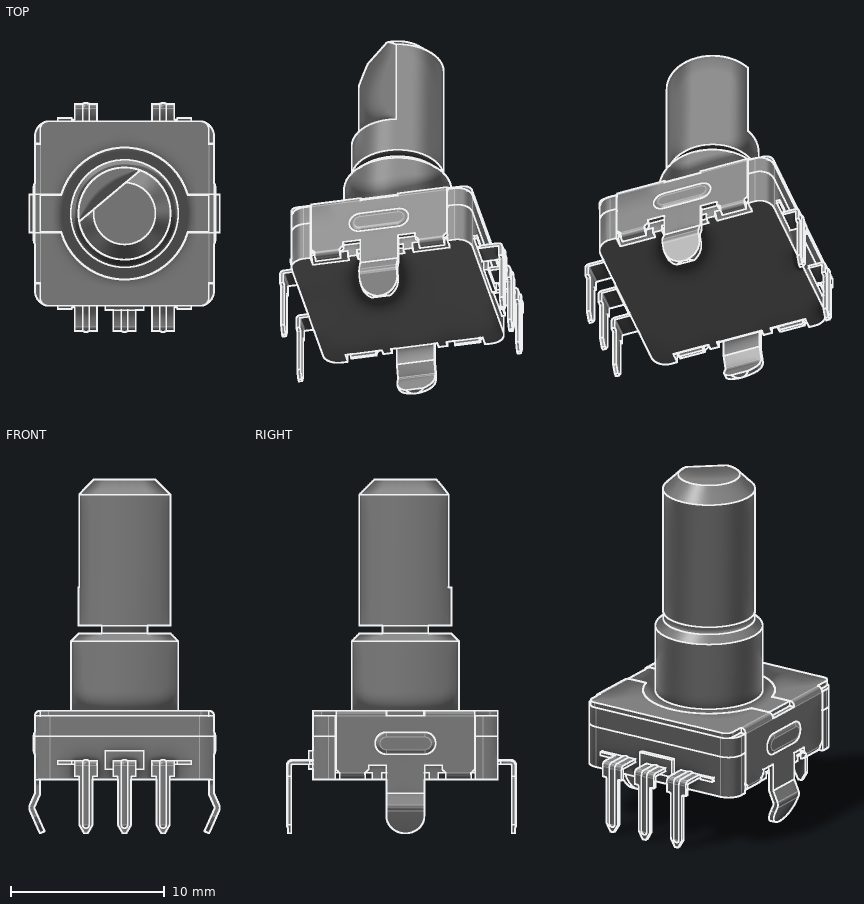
import cadquery as cq
import math


case_width = 11.65
case_depth = 12.0
case_height = 4.48
case_corner_radius = 1.0
parting_height = 2.8

sheet = 0.35
fit_gap = 0.05
wall_half_width = 4.5
plate_corner_radius = 0.53
cover_hole_radius = 4.3
hole_gap = 0.02
claw_half_width = 1.25
inner_half_width = case_width / 2 - sheet
shoulder_height = case_height - sheet

relief_half_width = 2.4
relief_height = 0.95
fold_radius = 0.44
fold_corner_width = 0.23
fold_corner_height = 0.23

claw_reach = 12.4 / 2
claw_bottom = -3.5
claw_bend_z = -0.9
claw_angle = math.radians(24)
claw_knee_radius = 0.48

emboss_z = 2.37
emboss_straight = 2.5
emboss_radius = 0.71
emboss_top_radius = 0.41
emboss_height = 0.1

block_width = 2.5
block_bottom = 0.7
block_top = 1.89
block_projection = 0.28
crimp_recess_inner = 2.15
claw_notch_half_width = 1.55

bushing_diameter = 7.0
bushing_top = 9.5
bushing_chamfer = 0.5

neck_diameter = 3.0
shaft_diameter = 6.0
shaft_bottom = 10.0
shaft_top = 19.5
shaft_chamfer = 1.0
flat_bottom = 12.5
flat_distance = 1.5
flat_angle = 130

terminal_pitch = 2.5
front_reach = 7.7
rear_reach = 7.2
terminal_sheet = 0.23
terminal_top = 1.22
terminal_bottom = -3.5
terminal_bend_radius = 0.28
embed_depth = 0.5
shoulder_half_width = 0.74
shoulder_bottom = 0.23
shank_half_width = 0.44
shank_fillet = 0.1
taper_start = -2.95
tip_half_width = 0.12
rib_half_width = 0.2
rib_height = 0.07
wing_reach = 1.85
wing_projection = 0.2
wing_notch_depth = 0.14
wing_notch_width = 0.18


def box(x_range, y_range, z_range):
    """Box between the given pairs of limits."""
    size = [high - low for low, high in (x_range, y_range, z_range)]
    corner = cq.Vector(x_range[0], y_range[0], z_range[0])
    return cq.Workplane(cq.Solid.makeBox(*size, corner))


def both_sides(shape, plane):
    """The shape together with its mirror image."""
    return shape.union(shape.mirror(plane))


def make_shaft():
    neck = cq.Workplane("XY", origin=(0, 0, bushing_top)).circle(neck_diameter / 2)
    neck = neck.extrude(shaft_bottom - bushing_top)
    stem = cq.Workplane("XY", origin=(0, 0, shaft_bottom)).circle(shaft_diameter / 2)
    stem = stem.extrude(shaft_top - shaft_bottom).faces(">Z").chamfer(shaft_chamfer)
    flat_cut = box(
        (flat_distance, shaft_diameter),
        (-shaft_diameter, shaft_diameter),
        (flat_bottom, shaft_top),
    ).rotate((0, 0, 0), (0, 0, 1), flat_angle)
    return stem.cut(flat_cut).union(neck)


def case_block(bottom, top):
    """Slice of the case, recessed on both X sides for the cover walls."""
    block = cq.Workplane("XY", origin=(0, 0, bottom)).rect(case_width, case_depth)
    block = block.extrude(top - bottom).edges("|Z").fillet(case_corner_radius)
    half_recess = wall_half_width + fit_gap
    recess = box((inner_half_width, case_width), (-half_recess, half_recess), (bottom, top))
    return block.cut(both_sides(recess, "YZ"))


def make_upper_housing():
    housing = case_block(parting_height, shoulder_height)
    island_height = case_height - shoulder_height
    island = cq.Workplane("XY", origin=(0, 0, shoulder_height)).circle(cover_hole_radius - hole_gap)
    island = island.extrude(island_height)
    tongue_half_width = claw_half_width - fit_gap
    tongue = box(
        (-inner_half_width, inner_half_width),
        (-tongue_half_width, tongue_half_width),
        (shoulder_height, case_height),
    )
    bushing = cq.Workplane("XY", origin=(0, 0, shoulder_height)).circle(bushing_diameter / 2)
    bushing = bushing.extrude(bushing_top - shoulder_height).faces(">Z").chamfer(bushing_chamfer)
    return housing.union(island).union(tongue).union(bushing)


def make_base():
    base = case_block(0, parting_height)
    block = box(
        (-block_width / 2, block_width / 2),
        (-case_depth / 2 - block_projection, 0),
        (block_bottom, block_top),
    )
    crimp_length = wall_half_width + fit_gap - crimp_recess_inner
    crimp_recess = (
        cq.Workplane("XZ", origin=(0, -crimp_recess_inner, 0))
        .moveTo(-inner_half_width, 0)
        .lineTo(-inner_half_width + fold_radius, 0)
        .lineTo(-inner_half_width, fold_radius)
        .close()
        .extrude(crimp_length)
    )
    claw_notch = box(
        (-inner_half_width, -inner_half_width + fold_radius),
        (-claw_notch_half_width, claw_notch_half_width),
        (0, fold_radius),
    )
    recesses = both_sides(both_sides(crimp_recess, "XZ").union(claw_notch), "YZ")
    return base.union(block).cut(recesses)


def cover_plate():
    plate = cq.Workplane("XY", origin=(0, 0, shoulder_height)).rect(2 * inner_half_width, case_depth)
    plate = plate.extrude(sheet).edges("|Z").fillet(plate_corner_radius)
    hole = cq.Workplane("XY", origin=(0, 0, shoulder_height)).circle(cover_hole_radius).extrude(sheet)
    slot = box(
        (-inner_half_width, inner_half_width),
        (-claw_half_width, claw_half_width),
        (shoulder_height, case_height),
    )
    return plate.cut(hole).cut(slot)


def cover_wall():
    """Half (y < 0) of the flat wall on the -X side, with its rounded top and folded bottom edge."""
    fold_start = relief_half_width + fold_corner_width
    fold_end = wall_half_width - fold_corner_width
    corner_top = fold_radius + fold_corner_height
    wall = (
        cq.Workplane("YZ", origin=(-case_width / 2, 0, 0))
        .moveTo(0, shoulder_height)
        .lineTo(0, relief_height)
        .lineTo(-relief_half_width, relief_height)
        .lineTo(-relief_half_width, corner_top)
        .lineTo(-fold_start, fold_radius)
        .lineTo(-fold_end, fold_radius)
        .lineTo(-wall_half_width, corner_top)
        .lineTo(-wall_half_width, shoulder_height)
        .close()
        .extrude(sheet)
    )
    bend = (
        cq.Workplane("XZ", origin=(0, -claw_half_width, 0))
        .moveTo(-inner_half_width, shoulder_height)
        .lineTo(-inner_half_width, case_height)
        .radiusArc((-case_width / 2, shoulder_height), -sheet)
        .close()
        .extrude(wall_half_width - claw_half_width)
    )
    fold_center = -case_width / 2 + fold_radius
    fold = (
        cq.Workplane("XZ", origin=(0, -fold_start, 0))
        .moveTo(-case_width / 2, fold_radius)
        .radiusArc((fold_center, 0), -fold_radius)
        .lineTo(fold_center, sheet)
        .radiusArc((-inner_half_width, fold_radius), fold_radius - sheet)
        .close()
        .extrude(fold_end - fold_start)
    )
    return wall.union(bend).union(fold)


def cover_claw():
    """Springy leg on the -X side: flares outward, then turns back in to a rounded tip."""
    slope = math.tan(claw_angle)
    knee_x = -claw_reach - claw_knee_radius * (1 / math.cos(claw_angle) - 1)
    knee_z = claw_bend_z - (-case_width / 2 - knee_x) / slope
    tip_x = knee_x + (knee_z - claw_bottom) * slope
    claw = (
        cq.Workplane("XZ", origin=(0, claw_half_width, 0))
        .moveTo(-case_width / 2, relief_height)
        .lineTo(-case_width / 2, claw_bend_z)
        .lineTo(knee_x, knee_z)
        .lineTo(tip_x, claw_bottom)
        .lineTo(tip_x + sheet * math.cos(claw_angle), claw_bottom + sheet * math.sin(claw_angle))
        .lineTo(knee_x + sheet / math.cos(claw_angle), knee_z)
        .lineTo(-inner_half_width, claw_bend_z - sheet * math.tan(claw_angle / 2))
        .lineTo(-inner_half_width, relief_height)
        .close()
        .extrude(2 * claw_half_width)
    )
    knee_outer = cq.selectors.NearestToPointSelector((knee_x, 0, knee_z))
    claw = claw.edges(knee_outer).fillet(claw_knee_radius)
    knee_inner = cq.selectors.NearestToPointSelector((knee_x + sheet / math.cos(claw_angle), 0, knee_z))
    claw = claw.edges(knee_inner).fillet(claw_knee_radius - sheet)
    tip_rise = claw_half_width * math.cos(claw_angle)
    tip_center = claw_bottom + tip_rise
    rounded_strip = (
        cq.Workplane("YZ", origin=(-case_width, 0, tip_center))
        .ellipse(claw_half_width, tip_rise)
        .extrude(case_width)
    )
    upper_strip = box(
        (-case_width, 0),
        (-claw_half_width, claw_half_width),
        (tip_center, relief_height),
    )
    rounded_strip = rounded_strip.union(upper_strip)
    return claw.intersect(rounded_strip)


def emboss_profile():
    """Section through the upper half of the emboss: flat top and convex rim."""
    wall_x = -case_width / 2
    top_x = wall_x - emboss_height
    rim_width = emboss_radius - emboss_top_radius
    rim_arc_radius = (rim_width**2 + emboss_height**2) / (2 * emboss_height)
    return (
        cq.Workplane("XZ", origin=(0, emboss_straight / 2, emboss_z))
        .moveTo(wall_x, 0)
        .lineTo(top_x, 0)
        .lineTo(top_x, emboss_top_radius)
        .radiusArc((wall_x, emboss_radius), rim_arc_radius)
        .close()
    )


def cover_emboss():
    """Oblong boss on the -X side, with round ends."""
    upper_half = emboss_profile().extrude(emboss_straight)
    bar = upper_half.union(upper_half.rotate((0, 0, emboss_z), (1, 0, emboss_z), 180))
    round_end = emboss_profile().revolve(360, (0, 0, 0), (1, 0, 0))
    return bar.union(round_end).union(round_end.translate((0, -emboss_straight, 0)))


def make_cover():
    side = both_sides(cover_wall(), "XZ").union(cover_claw()).union(cover_emboss())
    return cover_plate().union(both_sides(side, "YZ"))


def terminal_strip(outer_y):
    """Bent strip, cut to the outline of its shoulder, shank and pointed tip."""
    inner_y = -case_depth / 2 + embed_depth
    inner_bend = terminal_bend_radius - terminal_sheet
    bent_profile = (
        cq.Workplane("YZ", origin=(-shoulder_half_width, 0, 0))
        .moveTo(inner_y, terminal_top)
        .lineTo(outer_y + terminal_bend_radius, terminal_top)
        .radiusArc((outer_y, terminal_top - terminal_bend_radius), -terminal_bend_radius)
        .lineTo(outer_y, terminal_bottom)
        .lineTo(outer_y + terminal_sheet, terminal_bottom)
        .lineTo(outer_y + terminal_sheet, terminal_top - terminal_bend_radius)
        .radiusArc((outer_y + terminal_bend_radius, terminal_top - terminal_sheet), inner_bend)
        .lineTo(inner_y, terminal_top - terminal_sheet)
        .close()
        .extrude(2 * shoulder_half_width)
    )
    half_outline = (
        cq.Workplane("XZ")
        .moveTo(0, terminal_top)
        .lineTo(shoulder_half_width, terminal_top)
        .lineTo(shoulder_half_width, shoulder_bottom)
        .lineTo(shank_half_width + shank_fillet, shoulder_bottom)
        .radiusArc((shank_half_width, shoulder_bottom - shank_fillet), -shank_fillet)
        .lineTo(shank_half_width, taper_start)
        .lineTo(tip_half_width, terminal_bottom)
        .lineTo(0, terminal_bottom)
        .close()
        .extrude(case_depth)
    )
    return bent_profile.intersect(both_sides(half_outline, "YZ"))


def terminal_rib(outer_y):
    """Low rounded rib that follows the outer face of the strip and ends in a dome."""
    inner_y = -case_depth / 2 + embed_depth
    root = terminal_sheet / 2
    path = (
        cq.Workplane("YZ")
        .moveTo(inner_y, terminal_top)
        .lineTo(outer_y + terminal_bend_radius, terminal_top)
        .radiusArc((outer_y, terminal_top - terminal_bend_radius), -terminal_bend_radius)
        .lineTo(outer_y, taper_start)
    )
    rib = (
        cq.Workplane("XZ", origin=(0, inner_y, 0))
        .moveTo(-rib_half_width, terminal_top - root)
        .lineTo(-rib_half_width, terminal_top)
        .threePointArc((0, terminal_top + rib_height), (rib_half_width, terminal_top))
        .lineTo(rib_half_width, terminal_top - root)
        .close()
        .sweep(path)
    )
    crest_radius = (rib_half_width**2 + rib_height**2) / (2 * rib_height)
    dome = cq.Workplane("XY").sphere(crest_radius)
    dome = dome.translate((0, outer_y - rib_height + crest_radius, taper_start))
    dome_room = box(
        (-rib_half_width, rib_half_width),
        (outer_y - rib_height, outer_y),
        (taper_start - rib_half_width, taper_start),
    )
    return rib.union(dome.intersect(dome_room))


def terminal_wing(wing_side):
    """Flat wing that lies in the base, its edge just proud of the base face."""
    edge_y = -case_depth / 2 - wing_projection
    wing = box(
        (0, wing_reach),
        (edge_y, -case_depth / 2 + embed_depth),
        (terminal_top - terminal_sheet, terminal_top),
    )
    notch_radius = wing_notch_width / 2
    notch = (
        cq.Workplane("XY", origin=(shoulder_half_width + notch_radius, edge_y, 0))
        .slot2D(2 * wing_notch_depth, wing_notch_width, 90)
        .extrude(terminal_top)
    )
    wing = wing.cut(notch)
    return wing if wing_side > 0 else wing.mirror("YZ")


def make_terminal(x, reach, wing_side):
    """Terminal on the -Y side. wing_side is +1 or -1 for a wing toward +X or -X, and 0 for none."""
    outer_y = -reach + rib_height
    terminal = terminal_strip(outer_y).union(terminal_rib(outer_y))
    if wing_side:
        terminal = terminal.union(terminal_wing(wing_side))
    return terminal.translate((x, 0, 0))


def make_terminals():
    terminals = []
    for side in (-1, 0, 1):
        terminals.append(make_terminal(side * terminal_pitch, front_reach, side))
    for side in (-1, 1):
        rear = make_terminal(side * terminal_pitch, rear_reach, side)
        terminals.append(rear.rotate((0, 0, 0), (0, 0, 1), 180))
    return terminals


shaft = make_shaft()
upper_housing = make_upper_housing()
cover = make_cover()
terminals = make_terminals()
base = make_base()
for terminal in terminals:
    base = base.cut(terminal)

bodies = [shaft, upper_housing, base, cover, *terminals]
result = cq.Compound.makeCompound([body.solids().val() for body in bodies])